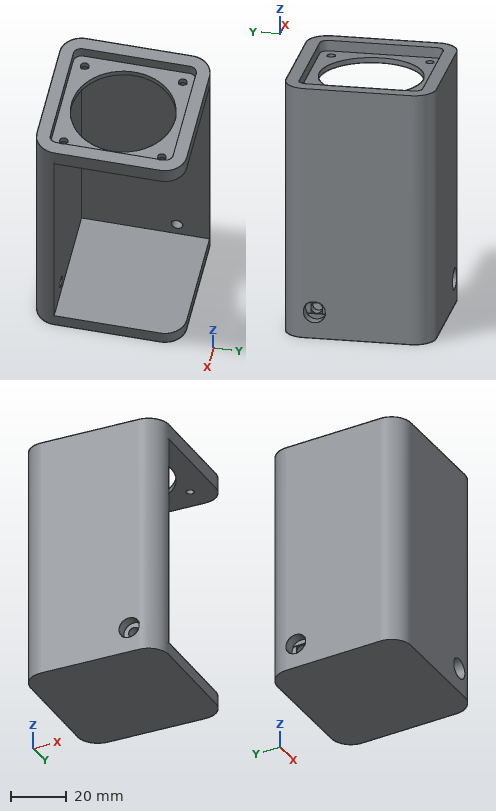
import cadquery as cq

height = 95.5
side = 55.0
corner_radius = 8.0
wall = corner_radius
floor_thickness = 5.0

rim_width = 5.0
recess_side = side - 2 * rim_width
recess_radius = 3.0
recess_depth = 4.0
plate_thickness = 2.0
window_diameter = 38.0
plate_hole_diameter = 3.0
plate_hole_spacing = 36.0

screw_offset = 15.6
screw_height = 10.0
screw_diameter = 4.2
head_diameter = 8.0
head_depth = 4.0
bridge_step = 0.3

half_side = side / 2
plate_top = height - recess_depth
plate_bottom = plate_top - plate_thickness


def make_body():
    return cq.Workplane("XY").rect(side, side).extrude(height).edges("|Z").fillet(corner_radius)


def make_top_recess():
    plane = cq.Workplane("XY").workplane(offset=plate_top)
    recess = plane.rect(recess_side, recess_side).extrude(recess_depth)
    return recess.edges("|Z").fillet(recess_radius)


def make_plate_holes():
    plane = cq.Workplane("XY").workplane(offset=plate_bottom)
    window = plane.circle(window_diameter / 2).extrude(plate_thickness)
    screws = (
        plane.rect(plate_hole_spacing, plate_hole_spacing, forConstruction=True)
        .vertices()
        .circle(plate_hole_diameter / 2)
        .extrude(plate_thickness)
    )
    return window.union(screws)


def make_cavity():
    """Space between floor and plate, open through the +X and +Y sides."""
    corner = (wall - half_side, wall - half_side, floor_thickness)
    return cq.Workplane("XY", origin=corner).box(side, side, plate_bottom - floor_thickness, centered=False)


def make_front_screw_hole():
    """Counterbored hole through the -Y wall."""
    face = cq.Workplane("XZ", origin=(screw_offset, -half_side, screw_height))
    hole = face.circle(screw_diameter / 2).extrude(-wall)
    return hole.union(face.circle(head_diameter / 2).extrude(-head_depth))


def make_side_screw_hole():
    """Counterbored hole through the -X wall, stepped by a slot and a square for bridging."""
    face = cq.Workplane("YZ", origin=(-half_side, screw_offset, screw_height))
    hole = face.circle(screw_diameter / 2).extrude(wall)
    head = face.circle(head_diameter / 2).extrude(head_depth)
    slot_depth = head_depth + bridge_step
    slot = face.rect(head_diameter, screw_diameter).extrude(slot_depth)
    slot = slot.intersect(face.circle(head_diameter / 2).extrude(slot_depth))
    square = face.rect(screw_diameter, screw_diameter).extrude(slot_depth + bridge_step)
    return hole.union(head).union(slot).union(square)


result = (
    make_body()
    .cut(make_top_recess())
    .cut(make_plate_holes())
    .cut(make_cavity())
    .cut(make_front_screw_hole())
    .cut(make_side_screw_hole())
)